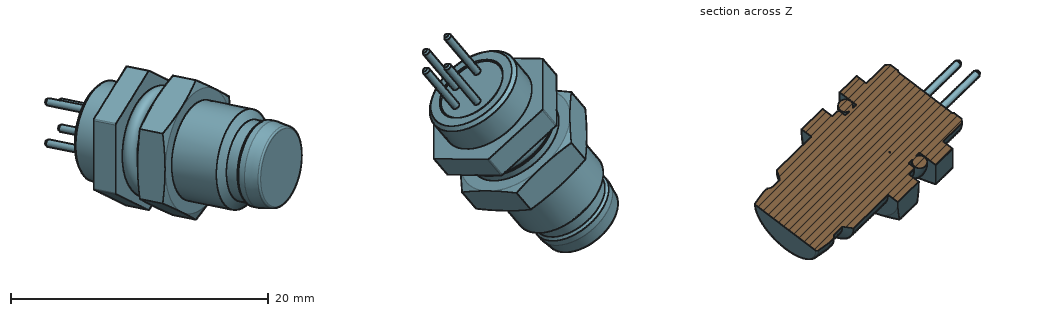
import cadquery as cq
import math

total_length = 21.0
body_start = 4.5
flange_start = 7.0
flange_end = 9.0
groove_end = 10.25
nut_start = 10.98
nut_end = 13.48
shoulder_start = 17.54
neck_start = 18.0
neck_end = 18.98
collar_start = 19.22
collar_end = 19.75

body_radius = 8.0 / 2
body_chamfer = 0.3
thread_chamfer = 0.15
neck_radius = 6.5 / 2
collar_radius = 6.9 / 2
nose_radius = 6.5 / 2
nose_round = 0.17

recess_rim_radius = 5.8 / 2
recess_floor_radius = 5.6 / 2
recess_depth = recess_rim_radius - recess_floor_radius

across_flats = 10.0
across_corners = across_flats * 2 / math.sqrt(3)
flange_corner_round = 0.13
nut_chamfer_angle = math.radians(15)

ring_outer_radius = 8.9 / 2
ring_section_radius = 1.2 / 2
ring_squeeze = 0.05
groove_radius = ring_outer_radius - 2 * ring_section_radius + ring_squeeze

pin_radius = 0.6 / 2
pin_tip_chamfer = 0.19
pin_tip_radius = 0.19
pin_embed = 0.42
pin_pairs = [(1.45, 1.07), (-0.5, 1.7)]


def revolve_about_x(profile):
    return profile.close().revolve(360, (0, 0, 0), (1, 0, 0))


def make_body():
    profile = (
        cq.Workplane("XY")
        .moveTo(body_start + recess_depth, 0)
        .lineTo(body_start + recess_depth, recess_floor_radius)
        .lineTo(body_start, recess_rim_radius)
        .lineTo(body_start, body_radius - body_chamfer)
        .lineTo(body_start + body_chamfer, body_radius)
        .lineTo(flange_end, body_radius)
        .lineTo(flange_end, groove_radius)
        .lineTo(groove_end, groove_radius)
        .lineTo(groove_end, body_radius - thread_chamfer)
        .lineTo(groove_end + thread_chamfer, body_radius)
        .lineTo(shoulder_start, body_radius)
        .lineTo(neck_start, neck_radius)
        .lineTo(neck_end, neck_radius)
        .lineTo(collar_start, collar_radius)
        .lineTo(collar_end, collar_radius)
        .lineTo(total_length, nose_radius)
        .lineTo(total_length, 0)
    )
    return revolve_about_x(profile).faces(">X").edges().fillet(nose_round)


def hex_prism(start, end):
    return (
        cq.Workplane("YZ", origin=(start, 0, 0))
        .transformed(rotate=(0, 0, 90))
        .polygon(6, across_corners)
        .extrude(end - start)
    )


def make_flange():
    """Hexagon with lightly rounded corners."""
    return hex_prism(flange_start, flange_end).edges("|X").fillet(flange_corner_round)


def make_nut():
    """Hexagon with conical chamfers on the corners of both faces."""
    face_radius = across_flats / 2
    corner_radius = across_corners / 2
    chamfer_depth = (corner_radius - face_radius) * math.tan(nut_chamfer_angle)
    chamfered_disc = revolve_about_x(
        cq.Workplane("XY")
        .moveTo(nut_start, 0)
        .lineTo(nut_start, face_radius)
        .lineTo(nut_start + chamfer_depth, corner_radius)
        .lineTo(nut_end - chamfer_depth, corner_radius)
        .lineTo(nut_end, face_radius)
        .lineTo(nut_end, 0)
    )
    return hex_prism(nut_start, nut_end).intersect(chamfered_disc)


def make_sealing_ring():
    return (
        cq.Workplane("XY")
        .center(flange_end + ring_section_radius, ring_outer_radius - ring_section_radius)
        .circle(ring_section_radius)
        .revolve(360, (0, ring_section_radius - ring_outer_radius, 0),
                 (1, ring_section_radius - ring_outer_radius, 0))
    )


def make_pin(y, z):
    profile = (
        cq.Workplane("XY")
        .lineTo(0, pin_tip_radius)
        .lineTo(pin_tip_chamfer, pin_radius)
        .lineTo(body_start + pin_embed, pin_radius)
        .lineTo(body_start + pin_embed, 0)
    )
    return revolve_about_x(profile).translate((0, y, z))


result = make_body().union(make_flange()).union(make_sealing_ring()).union(make_nut())
for pin_y, pin_z in pin_pairs:
    for side in (1, -1):
        result = result.union(make_pin(pin_y, side * pin_z))